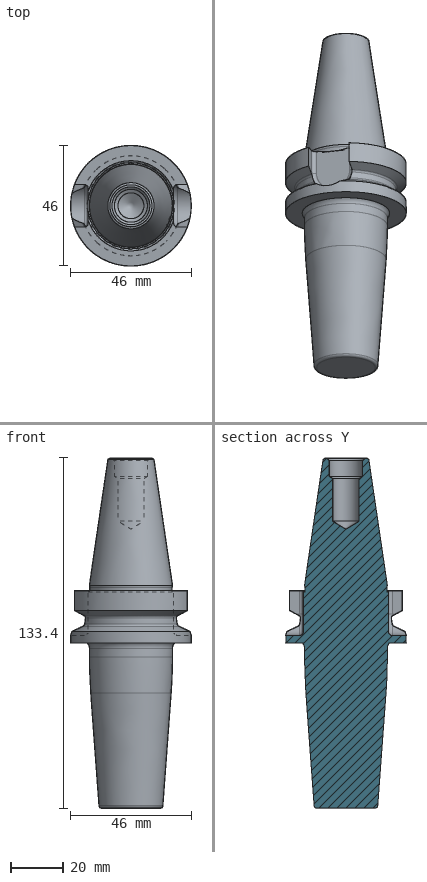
import cadquery as cq
import math

total_height = 133.4
arc_bottom = 44.0
arc_top = 57.6
flange_bottom = 63.0
lower_rim_top = 67.4
upper_rim_bottom = 75.4
flange_top = 83.0
neck_top = 84.2
taper_bottom = 85.0

flange_radius = 23.01
groove_radius = 19.1
body_radius = 15.9
nose_radius = 12.1
taper_large_radius = 15.9
neck_radius = 15.7
taper_small_radius = 8.8

nose_fillet = 1.1
body_fillet_height = 2.0
body_fillet_width = 0.8
groove_fillet = 1.0
groove_flank_angle = 30.0
end_chamfer_width = 0.8
end_chamfer_height = 0.4
recess_outer_radius = 17.2
recess_floor_radius = 16.4
recess_depth = 0.5

bore_mouth_radius = 7.2
bore_radius = 6.3
bore_chamfer = bore_mouth_radius - bore_radius
bore_depth = 7.0
thread_radius = 5.0
bore_step_height = 0.8
thread_depth = 24.0
drill_tip_angle = 118.0

slot_width = 16.1
slot_floor_radius = 16.3
slot_depth = 17.1
slot_fillet = 1.5


def make_body():
    """Solid of revolution: nose, flange with V groove, neck and taper."""
    groove_rise = (flange_radius - groove_radius) * math.tan(math.radians(groove_flank_angle))

    arc_corner = (arc_bottom + arc_top) / 2
    cone_slope = (body_radius - nose_radius) / arc_corner
    arc_bottom_radius = body_radius - cone_slope * (arc_corner - arc_bottom)

    outer = (
        cq.Workplane("XZ")
        .lineTo(nose_radius, 0)
        .lineTo(arc_bottom_radius, arc_bottom)
        .tangentArcPoint((body_radius, arc_top), relative=False)
        .lineTo(body_radius, flange_bottom - body_fillet_height)
        .tangentArcPoint((body_radius + body_fillet_width, flange_bottom), relative=False)
        .lineTo(flange_radius, flange_bottom)
        .lineTo(flange_radius, lower_rim_top)
        .lineTo(groove_radius, lower_rim_top + groove_rise)
        .lineTo(groove_radius, upper_rim_bottom - groove_rise)
        .lineTo(flange_radius, upper_rim_bottom)
        .lineTo(flange_radius, flange_top)
        .lineTo(recess_outer_radius, flange_top)
        .lineTo(recess_floor_radius, flange_top - recess_depth)
        .lineTo(neck_radius, flange_top - recess_depth)
        .lineTo(neck_radius, neck_top)
        .lineTo(taper_large_radius, taper_bottom)
        .lineTo(taper_small_radius, total_height - end_chamfer_height)
        .lineTo(taper_small_radius - end_chamfer_width, total_height)
        .lineTo(0, total_height)
        .close()
        .revolve(360, (0, 0, 0), (0, 1, 0))
    )
    groove_zone = cq.selectors.BoxSelector(
        (-flange_radius, -flange_radius, lower_rim_top + groove_rise / 2),
        (flange_radius, flange_radius, upper_rim_bottom - groove_rise / 2),
    )
    rounded = outer.edges(groove_zone).edges("%CIRCLE").fillet(groove_fillet)
    return rounded.faces("<Z").edges().fillet(nose_fillet)


def make_bore():
    """Stepped blind bore with a chamfered mouth and a drilled tip."""
    bore_floor = total_height - bore_depth
    thread_floor = total_height - thread_depth
    tip_height = thread_radius / math.tan(math.radians(drill_tip_angle / 2))
    return (
        cq.Workplane("XZ")
        .moveTo(0, total_height)
        .lineTo(bore_mouth_radius, total_height)
        .lineTo(bore_radius, total_height - bore_chamfer)
        .lineTo(bore_radius, bore_floor)
        .lineTo(thread_radius, bore_floor - bore_step_height)
        .lineTo(thread_radius, thread_floor)
        .lineTo(0, thread_floor - tip_height)
        .close()
        .revolve(360, (0, 0, 0), (0, 1, 0))
    )


def make_drive_slot():
    """Cutter for the +X slot: round lower end, open at the flange top, filleted floor."""
    half_width = slot_width / 2
    slot_bottom = flange_top - slot_depth
    cutter_top = total_height
    cutter_length = flange_radius
    return (
        cq.Workplane("YZ", origin=(slot_floor_radius, 0, 0))
        .moveTo(-half_width, cutter_top)
        .lineTo(-half_width, slot_bottom + half_width)
        .threePointArc((0, slot_bottom), (half_width, slot_bottom + half_width))
        .lineTo(half_width, cutter_top)
        .close()
        .extrude(cutter_length)
        .faces("<X")
        .edges("not >Z")
        .fillet(slot_fillet)
    )


drive_slot = make_drive_slot()
result = make_body().cut(make_bore())
for angle in (0, 180):
    result = result.cut(drive_slot.rotate((0, 0, 0), (0, 0, 1), angle))